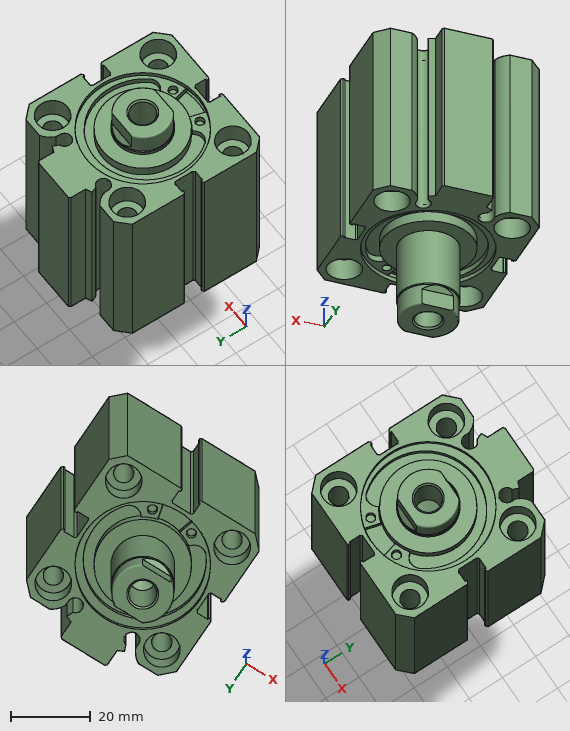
import cadquery as cq
import math


half_width = 22.5
housing_height = 48.05
corner_chamfer = 3.4
bolt_offset = 16.25
bolt_hole_diameter = 5.1
bolt_head_diameter = 9.2
bolt_head_depth = 6.0
bore_radius = 17.0

head_top = 27.5
head_half_width = 6.9
head_chamfer = 0.5
head_barb_tip = (8.6, 21.7)
head_barb_heel = (8.4, 21.1)
channel_x = 8.5
channel_y = 18.1
channel_radius = 2.0
channel_lip_x = 7.9
shoulder_start_y = 19.25
shoulder_middle = (11.6, 21.2)
shoulder_end_x = 13.25

slot_floor = 18.0
slot_half_width = 3.15
slot_opening_half_width = 2.7
slot_lip_bevel = 0.5
slot_corner_chamfer = 0.5
side_lip_thickness = 1.0
side_lip_bevel_depth = 0.5
front_lip_thickness = 0.85
front_lip_bevel_depth = 0.2

rod_radius = 8.0
rod_top_projection = 6.9
rod_length = 77.0
tip_radius = 7.8
tip_length = 5.8
tip_fillet = 0.5
shoulder_chamfer = rod_radius - tip_radius
flat_half_width = 6.5
flat_length = 4.5
thread_radius = 3.55
thread_mouth_radius = 4.0
thread_depth = 13.0
drill_point_angle = 118.0

boss_radius = 12.25
cover_flange_length = 10.0

ring_depth = 1.2
ring_thickness = 1.6
ring_radius = 17.7
ring_inner_radius = 15.5
ring_inner_shift = -0.9
ring_boss_radius = 12.5
ring_gap_half_angle = 15.0
scallop_radius = 3.0
scallop_angle = 218.5
scallop_end_angle = -32.0
lug_hole_x = 5.85
lug_hole_y = -13.5
lug_hole_radius = 1.2

ring_bottom_depth = ring_depth + ring_thickness
rod_top = housing_height + rod_top_projection
rod_middle = rod_top - rod_length / 2
housing_middle = housing_height / 2


def polar(radius, angle, centre=(0, 0)):
    """Point at a radius and an angle in degrees around a centre."""
    turn = math.radians(angle)
    return (centre[0] + radius * math.cos(turn), centre[1] + radius * math.sin(turn))


def mirror_x(point):
    return (-point[0], point[1])


def mirror_z(body, height):
    """Copy of a body reflected in the level plane at a height."""
    return body.mirror("XY", (0, 0, height))


def block_outline():
    """Cross-section of the housing without slots: chamfered square, port head and channels."""
    chamfer_start = half_width - corner_chamfer
    lip_rise = math.sqrt(channel_radius**2 - (channel_x - channel_lip_x) ** 2)
    channel_lip = (channel_lip_x, channel_y + lip_rise)
    channel_floor = (channel_x, channel_y - channel_radius)
    channel_side = (channel_x + channel_radius, channel_y)
    shoulder_start = (channel_side[0], shoulder_start_y)
    shoulder_end = (shoulder_end_x, half_width)
    head_foot = (head_half_width, half_width)
    head_side = (head_half_width, head_top - head_chamfer)
    head_corner = (head_half_width - head_chamfer, head_top)
    return (
        cq.Workplane("XY")
        .moveTo(-chamfer_start, -half_width)
        .lineTo(chamfer_start, -half_width)
        .lineTo(half_width, -chamfer_start)
        .lineTo(half_width, chamfer_start)
        .lineTo(chamfer_start, half_width)
        .lineTo(*shoulder_end)
        .threePointArc(shoulder_middle, shoulder_start)
        .lineTo(*channel_side)
        .threePointArc(channel_floor, channel_lip)
        .lineTo(*head_barb_heel)
        .lineTo(*head_barb_tip)
        .lineTo(*head_foot)
        .lineTo(*head_side)
        .lineTo(*head_corner)
        .lineTo(*mirror_x(head_corner))
        .lineTo(*mirror_x(head_side))
        .lineTo(*mirror_x(head_foot))
        .lineTo(*mirror_x(head_barb_tip))
        .lineTo(*mirror_x(head_barb_heel))
        .lineTo(*mirror_x(channel_lip))
        .threePointArc(mirror_x(channel_floor), mirror_x(channel_side))
        .lineTo(*mirror_x(shoulder_start))
        .threePointArc(mirror_x(shoulder_middle), mirror_x(shoulder_end))
        .lineTo(-chamfer_start, half_width)
        .lineTo(-half_width, chamfer_start)
        .lineTo(-half_width, -chamfer_start)
        .close()
    )


def sensor_slot(lip_thickness, bevel_depth):
    """Full-height cutter for a slot in the -Y side, bevelled at its lips and floor corners."""
    lip_inside = lip_thickness - half_width
    mouth_half_width = slot_opening_half_width + slot_lip_bevel
    right_side = [
        (mouth_half_width, -half_width),
        (slot_opening_half_width, bevel_depth - half_width),
        (slot_opening_half_width, lip_inside),
        (slot_half_width, lip_inside),
        (slot_half_width, -slot_floor),
    ]
    left_side = [mirror_x(point) for point in reversed(right_side)]
    slot = cq.Workplane("XY").polyline(right_side + left_side).close().extrude(housing_height)
    return slot.faces(">Y").edges("|Z").chamfer(slot_corner_chamfer)


def make_housing():
    housing = block_outline().extrude(housing_height)

    front_slot = sensor_slot(front_lip_thickness, front_lip_bevel_depth)
    side_slot = sensor_slot(side_lip_thickness, side_lip_bevel_depth)
    housing = housing.cut(front_slot)
    for angle in (-90, 90):
        housing = housing.cut(side_slot.rotate((0, 0, 0), (0, 0, 1), angle))

    bolt_places = [(x, y) for x in (-bolt_offset, bolt_offset) for y in (-bolt_offset, bolt_offset)]
    bolt_holes = cq.Workplane("XY").pushPoints(bolt_places).circle(bolt_hole_diameter / 2)
    housing = housing.cut(bolt_holes.extrude(housing_height))
    for bottom in (0, housing_height - bolt_head_depth):
        heads = cq.Workplane("XY").workplane(offset=bottom).pushPoints(bolt_places)
        housing = housing.cut(heads.circle(bolt_head_diameter / 2).extrude(bolt_head_depth))

    housing = housing.cut(cq.Workplane("XY").circle(bore_radius).extrude(housing_height))
    for bottom in (ring_depth, housing_height - ring_bottom_depth):
        groove = cq.Workplane("XY").workplane(offset=bottom).circle(ring_radius).extrude(ring_thickness)
        housing = housing.cut(groove)
    return housing


def rod_end_cutter():
    """Threaded hole and wrench flats of the upper rod end."""
    mouth_chamfer = thread_mouth_radius - thread_radius
    point_length = thread_radius / math.tan(math.radians(drill_point_angle / 2))
    hole = (
        cq.Workplane("XZ")
        .moveTo(0, rod_top)
        .lineTo(thread_mouth_radius, rod_top)
        .lineTo(thread_radius, rod_top - mouth_chamfer)
        .lineTo(thread_radius, rod_top - thread_depth)
        .lineTo(0, rod_top - thread_depth - point_length)
        .close()
        .revolve(360, (0, 0, 0), (0, 1, 0))
    )
    run_out = rod_radius - flat_half_width
    flat_bottom = rod_top - flat_length
    flat = (
        cq.Workplane("YZ")
        .moveTo(flat_half_width, rod_top)
        .lineTo(flat_half_width, flat_bottom)
        .lineTo(rod_radius, flat_bottom - run_out)
        .lineTo(rod_radius, rod_top)
        .close()
        .extrude(rod_radius, both=True)
    )
    return hole.union(flat).union(flat.mirror("XZ"))


def make_rod():
    rod_bottom = rod_top - rod_length
    neck_bottom = rod_bottom + tip_length
    neck_top = rod_top - tip_length
    profile = [
        (0, rod_bottom),
        (tip_radius, rod_bottom),
        (tip_radius, neck_bottom),
        (rod_radius, neck_bottom + shoulder_chamfer),
        (rod_radius, neck_top - shoulder_chamfer),
        (tip_radius, neck_top),
        (tip_radius, rod_top),
        (0, rod_top),
    ]
    rod = cq.Workplane("XZ").polyline(profile).close().revolve(360, (0, 0, 0), (0, 1, 0))
    rod = rod.faces("<Z or >Z").edges().fillet(tip_fillet)
    upper_cutter = rod_end_cutter()
    return rod.cut(upper_cutter).cut(mirror_z(upper_cutter, rod_middle))


def make_upper_cover():
    """Flange below the snap ring, with a boss that rises flush with the housing end."""
    flange_top = housing_height - ring_bottom_depth
    flange_bottom = flange_top - cover_flange_length
    flange = cq.Workplane("XY").workplane(offset=flange_bottom).circle(bore_radius)
    boss = cq.Workplane("XY").workplane(offset=flange_top).circle(boss_radius)
    rod_hole = cq.Workplane("XY").workplane(offset=flange_bottom).circle(rod_radius)
    cover = flange.extrude(cover_flange_length).union(boss.extrude(ring_bottom_depth))
    return cover.cut(rod_hole.extrude(cover_flange_length + ring_bottom_depth))


def make_upper_snap_ring():
    """Eccentric ring, open at -Y between two lugs with plier holes."""
    plane = cq.Workplane("XY").workplane(offset=housing_height - ring_bottom_depth)
    ring = plane.circle(ring_radius).circle(ring_boss_radius).extrude(ring_thickness)

    opening_centre = (0, ring_inner_shift)
    scallop_centre = polar(ring_inner_radius - scallop_radius, scallop_angle, opening_centre)
    opening_end = polar(ring_inner_radius, scallop_angle, opening_centre)
    scallop_bottom = polar(scallop_radius, -90, scallop_centre)
    scallop_end = polar(scallop_radius, scallop_end_angle, scallop_centre)
    opening = (
        plane.moveTo(*opening_end)
        .threePointArc((0, ring_inner_radius + ring_inner_shift), mirror_x(opening_end))
        .threePointArc(mirror_x(scallop_bottom), mirror_x(scallop_end))
        .lineTo(*scallop_end)
        .threePointArc(scallop_bottom, opening_end)
        .close()
        .extrude(ring_thickness)
    )

    gap_half_width = ring_radius * math.tan(math.radians(ring_gap_half_angle))
    gap_corners = [(0, 0), (gap_half_width, -ring_radius), (-gap_half_width, -ring_radius)]
    gap = plane.polyline(gap_corners).close().extrude(ring_thickness)

    lug_places = [(-lug_hole_x, lug_hole_y), (lug_hole_x, lug_hole_y)]
    lug_holes = plane.pushPoints(lug_places).circle(lug_hole_radius).extrude(ring_thickness)
    return ring.cut(opening).cut(gap).cut(lug_holes)


housing = make_housing()
rod = make_rod()
end_parts = []
for upper_part in (make_upper_cover(), make_upper_snap_ring()):
    lower_part = mirror_z(upper_part, housing_middle)
    end_parts += [upper_part.val(), lower_part.val()]

result = cq.Compound.makeCompound([housing.val(), rod.val(), *end_parts])